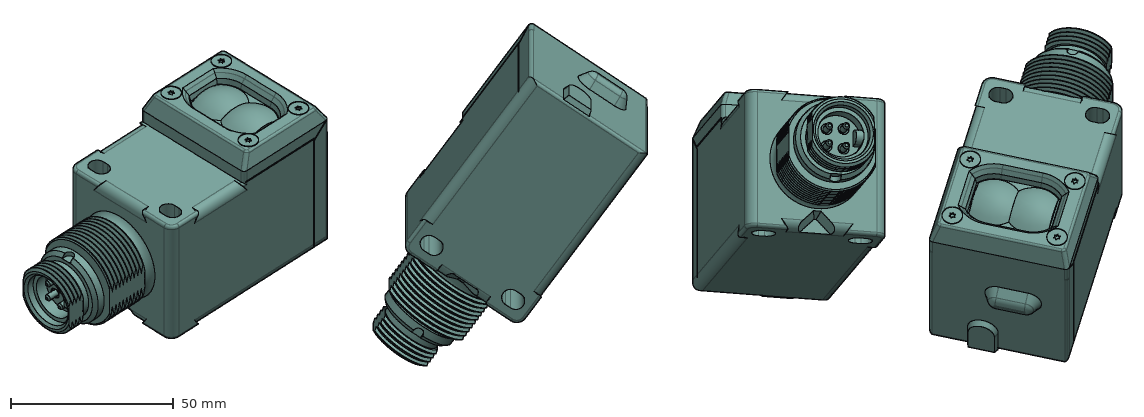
import cadquery as cq
import math


chamfer_angle = 45

width = 44.5
half_width = width / 2
body_height = width
body_length = 69.1
corner_radius = 3.3
rear_edge_radius = 1.2
housing_edge_radius = 1.1

relief_radius = 3.2
relief_end_slant = 2.2
front_relief_length = 22.7
side_relief_start = 10.1
top_relief_end = 33.1

head_corner_radius = 1.3
head_overlap = 2.5
head_front = 31.8
head_length = body_length - head_front
head_center_y = head_front + head_length / 2
head_wall_top = 49.0
head_top = 54.2
head_side_taper = 1.9
head_end_taper = 3.2
head_edge_radius = 1.0

window_half_length = 15.9
window_radius = 11.7
window_depth = 4.2
window_chamfer = 1.0
window_draft = 40.0
window_draft_depth = 2.3
window_lower_draft = 15.0
lens_offset = 6.4
lens_radius = 8.8
lens_height = 3.0
lens_half_length = 12.7
lens_root = 1.3

screw_x = 16.6
screw_y = 11.0
screw_radius = 3.2
screw_proud = 0.2
screw_recess_depth = 0.5
star_outer_radius = 1.1
star_inner_radius = 0.6
star_points = 6

slot_x = 15.4
slot_y = 6.5
slot_length = 7.4
slot_width = 5.5

notch_height = 6.5
notch_half_base = 7.6
notch_tip_half_width = 1.2
notch_depth = 2.6
notch_draft = 36.0

seam_y = 62.4
seam_width = 0.3
seam_depth = 0.1
seam_corner_z = 43.9
seam_end_y = 68.0

lamp_length = 4.3
lamp_radius = 4.3
lamp_left = -9.3
lamp_right = 0.0
lamp_z = 28.3
lamp_draft = 30.0
lamp_tip_radius = 2.8
button_x = 5.0
button_z = 8.6
button_base_radius = 4.9
button_height = 1.9
button_draft = 20.0

axis_z = 22.3
collar_radius = 13.7
collar_end = 3.1
collar_flare = 1.4
large_thread_radius = 15.0
large_thread_end = 18.7
large_thread_ridges = 10
large_flat = 13.8
neck_radius = 9.1
flange_radius = 12.6
flange_start = 19.8
flange_end = 23.7
flange_chamfer = 1.3
small_root_radius = 9.8
small_thread_radius = 11.3
small_thread_start = 26.2
small_thread_ridges = 4
connector_end = 32.5
small_flat = 9.9
thread_pitch = 1.6
thread_depth = 1.0
crest_width = 0.2

flange_slot_radius = 1.7
flange_slot_floor_radius = 11.0
flange_slot_center = 22.5

mouth_radius = 9.5
bore_radius = 8.7
mouth_chamfer = mouth_radius - bore_radius
step_depth = 3.2
inner_bore_radius = 7.3
socket_depth = 7.4
pin_radius = 1.1
pin_length = 3.7
pin_tip_chamfer = 0.5
pin_well_radius = 1.7
pin_well_depth = 0.6
pin_positions = [(-3.4, 2.8), (-3.4, -2.8), (2.0, 3.2), (2.0, -3.2)]
key_inner_x = 4.9
key_outer_x = inner_bore_radius
key_half_height = 2.3
key_length = 4.6


def housing():
    block = cq.Workplane("XY").box(width, body_length, body_height, centered=(True, False, False))
    block = block.edges("|Z and <Y").fillet(corner_radius)
    block = block.edges("|Z and >Y").fillet(rear_edge_radius)
    return block.faces("<Z or >Z").edges().fillet(housing_edge_radius)


def rounded_rectangle(size_x, size_y):
    return cq.Sketch().rect(size_x, size_y).vertices().fillet(head_corner_radius)


def head():
    base_z = body_height - head_overlap
    footprint = rounded_rectangle(width, head_length)
    roof_outline = rounded_rectangle(width - 2 * head_side_taper, head_length - 2 * head_end_taper)
    wall = cq.Workplane("XY", origin=(0, head_center_y, base_z)).placeSketch(footprint)
    wall = wall.extrude(head_wall_top - base_z)
    roof = cq.Workplane("XY", origin=(0, head_center_y, head_wall_top))
    roof = roof.placeSketch(footprint, roof_outline.moved(cq.Location((0, 0, head_top - head_wall_top))))
    roof = roof.loft(ruled=True)
    roof = roof.faces(">Z").edges().fillet(head_edge_radius)
    return wall.union(roof)


def edge_relief(length_start, length_end):
    """Cutter that rounds a stretch of the edge along +X at Y = 0, Z = 0 (solid towards +Y and -Z)."""
    wedge = (
        cq.Workplane("XZ")
        .moveTo(length_start, -relief_radius)
        .lineTo(length_end, -relief_radius)
        .lineTo(length_end - relief_end_slant, 0)
        .lineTo(length_start + relief_end_slant, 0)
        .close()
        .extrude(-relief_radius)
    )
    rod = cq.Workplane("YZ", origin=(length_start, relief_radius, -relief_radius))
    return wedge.cut(rod.circle(relief_radius).extrude(length_end - length_start))


def reliefs():
    half_front = front_relief_length / 2
    front_top = edge_relief(-half_front, half_front).translate((0, 0, body_height))
    front_bottom = edge_relief(-half_front, half_front).mirror("XY")
    side_top = edge_relief(-top_relief_end, -side_relief_start)
    side_top = side_top.rotate((0, 0, 0), (0, 0, 1), -90).translate((-half_width, 0, body_height))
    side_bottom = edge_relief(-body_length - relief_end_slant, -side_relief_start)
    side_bottom = side_bottom.rotate((0, 0, 0), (0, 0, 1), -90).mirror("XY").translate((-half_width, 0, 0))
    cutters = front_top.union(front_bottom)
    for side in (side_top, side_bottom):
        cutters = cutters.union(side).union(side.mirror("YZ"))
    return cutters


def window_outline(radius, half_length, z):
    """Slot with rounded ends cut off square at both sides."""
    half_side = math.sqrt(radius**2 - (half_length - lens_offset) ** 2)
    angle = math.atan2(half_side, half_length - lens_offset)
    middle = (angle + math.pi / 2) / 2
    arc_x = lens_offset + radius * math.cos(middle)
    arc_y = radius * math.sin(middle)
    return (
        cq.Workplane("XY", origin=(0, head_center_y, z))
        .moveTo(-lens_offset, radius)
        .lineTo(lens_offset, radius)
        .threePointArc((arc_x, arc_y), (half_length, half_side))
        .lineTo(half_length, -half_side)
        .threePointArc((arc_x, -arc_y), (lens_offset, -radius))
        .lineTo(-lens_offset, -radius)
        .threePointArc((-arc_x, -arc_y), (-half_length, -half_side))
        .lineTo(-half_length, half_side)
        .threePointArc((-arc_x, arc_y), (-lens_offset, radius))
        .close()
    )


def window_pocket():
    """Pocket with a chamfered rim, a wide-angled upper wall and a steep lower wall."""
    draft_height = window_draft_depth - window_chamfer
    draft_inset = window_chamfer + draft_height * math.tan(math.radians(window_draft))
    levels = [
        (0, window_chamfer, 0, chamfer_angle),
        (window_chamfer, window_draft_depth, window_chamfer, window_draft),
        (window_draft_depth, window_depth, draft_inset, window_lower_draft),
    ]
    pocket = cq.Workplane("XY")
    for top_depth, bottom_depth, inset, draft in levels:
        outline = window_outline(window_radius - inset, window_half_length - inset, head_top - top_depth)
        pocket = pocket.union(outline.extrude(top_depth - bottom_depth, taper=draft))
    return pocket


def lenses():
    sphere_radius = (lens_radius**2 + lens_height**2) / (2 * lens_height)
    floor_z = head_top - window_depth
    center_z = floor_z + lens_height - sphere_radius
    pair = cq.Workplane("XY")
    for side in (-1, 1):
        ball = cq.Workplane("XY").sphere(sphere_radius)
        pair = pair.union(ball.translate((side * lens_offset, head_center_y, center_z)))
    trim = cq.Workplane("XY", origin=(0, head_center_y, floor_z - lens_root))
    trim = trim.rect(2 * lens_half_length, 2 * lens_radius).extrude(lens_height + lens_root)
    return pair.intersect(trim)


def star_outline(workplane):
    points = []
    for i in range(2 * star_points):
        radius = star_inner_radius if i % 2 else star_outer_radius
        angle = math.pi / 2 + i * math.pi / star_points
        points.append((radius * math.cos(angle), radius * math.sin(angle)))
    return workplane.polyline(points).close()


def screw(x, y):
    top_z = head_top + screw_proud
    return cq.Workplane("XY", origin=(x, y, top_z)).circle(screw_radius).extrude(-2 * screw_proud)


def screw_recess(x, y):
    workplane = cq.Workplane("XY", origin=(x, y, head_top + screw_proud))
    return star_outline(workplane).extrude(-screw_recess_depth)


def triangular_notch():
    """Triangle with sloping walls, carried on below the housing so that it stays open underneath."""
    slope = (notch_half_base - notch_tip_half_width) / notch_height
    lower_half_base = notch_half_base + slope * notch_depth
    return (
        cq.Workplane("XZ")
        .moveTo(-lower_half_base, -notch_depth)
        .lineTo(-notch_tip_half_width, notch_height)
        .lineTo(notch_tip_half_width, notch_height)
        .lineTo(lower_half_base, -notch_depth)
        .close()
        .extrude(-notch_depth, taper=notch_draft)
    )


def cover_seam():
    """Fine groove up one side face, branching to the upper rear corner and along the foot of the head."""
    side = cq.Workplane("YZ", origin=(-half_width, 0, 0))
    upright = (
        side.moveTo(seam_y, 0)
        .lineTo(seam_y, seam_corner_z)
        .lineTo(seam_end_y, head_wall_top)
        .lineTo(seam_end_y + seam_width, head_wall_top)
        .lineTo(seam_y + seam_width, seam_corner_z)
        .lineTo(seam_y + seam_width, 0)
        .close()
        .extrude(seam_depth)
    )
    foot = side.moveTo(head_front, body_height).lineTo(seam_y + seam_width, body_height)
    foot = foot.lineTo(seam_y + seam_width, body_height + seam_width)
    foot = foot.lineTo(head_front, body_height + seam_width).close().extrude(seam_depth)
    groove = upright.union(foot)
    return groove.union(groove.mirror("YZ"))


def lamp():
    length = lamp_right - lamp_left + 2 * lamp_radius
    workplane = cq.Workplane("XZ", origin=((lamp_left + lamp_right) / 2, body_length, lamp_z))
    dome = workplane.slot2D(length, 2 * lamp_radius).extrude(-lamp_length, taper=lamp_draft)
    return dome.faces(">Y").edges().fillet(lamp_tip_radius)


def button():
    return (
        cq.Workplane("XZ", origin=(button_x, body_length, 0))
        .moveTo(-button_base_radius, 0)
        .lineTo(-button_base_radius, button_z)
        .threePointArc((0, button_z + button_base_radius), (button_base_radius, button_z))
        .lineTo(button_base_radius, 0)
        .close()
        .extrude(-button_height, taper=button_draft)
    )


def axis_workplane(distance):
    """Plane across the connector axis, extruding away from the housing."""
    return cq.Workplane("XZ", origin=(0, -distance, axis_z))


def threaded_rod(start, ridge_count, radius):
    """Rod with evenly pitched ring crests."""
    root = radius - thread_depth
    profile = cq.Workplane("XY").moveTo(0, -start).lineTo(root, -start)
    for i in range(ridge_count):
        crest = start + (i + 0.5) * thread_pitch
        profile = profile.lineTo(radius, -crest + crest_width / 2)
        profile = profile.lineTo(radius, -crest - crest_width / 2)
        profile = profile.lineTo(root, -crest - thread_pitch / 2)
    profile = profile.lineTo(0, -start - ridge_count * thread_pitch).close()
    return profile.revolve(360, (0, 0, 0), (0, 1, 0)).translate((0, 0, axis_z))


def flatten_sides(rod, half_flat, start, end):
    block = axis_workplane(start).rect(2 * half_flat, 4 * half_flat).extrude(end - start)
    return rod.intersect(block)


def flared_collar():
    """Round collar that widens towards the housing in a concave sweep."""
    sweep_radius = (collar_flare**2 + collar_end**2) / (2 * collar_flare)
    half_angle = math.asin(collar_end / sweep_radius) / 2
    middle_x = collar_radius + sweep_radius * (1 - math.cos(half_angle))
    middle_y = sweep_radius * math.sin(half_angle) - collar_end
    profile = cq.Workplane("XY").lineTo(collar_radius + collar_flare, 0)
    profile = profile.threePointArc((middle_x, middle_y), (collar_radius, -collar_end))
    profile = profile.lineTo(0, -collar_end).close()
    return profile.revolve(360, (0, 0, 0), (0, 1, 0)).translate((0, 0, axis_z))


def connector():
    collar = flared_collar()
    large = threaded_rod(collar_end, large_thread_ridges, large_thread_radius)
    large = flatten_sides(large, large_flat, collar_end, large_thread_end)
    neck = axis_workplane(large_thread_end).circle(neck_radius).extrude(flange_start - large_thread_end)
    flange = axis_workplane(flange_start).circle(flange_radius).extrude(flange_end - flange_start)
    flange = flange.faces("<Y").edges().chamfer(flange_chamfer)
    barrel = axis_workplane(flange_end).circle(small_root_radius).extrude(small_thread_start - flange_end)
    small = threaded_rod(small_thread_start, small_thread_ridges, small_thread_radius)
    small = flatten_sides(small, small_flat, small_thread_start, connector_end)
    return collar.union(large).union(neck).union(flange).union(barrel).union(small)


def flange_slots():
    slot_end = flange_slot_radius - flange_slot_center
    upper = (
        cq.Workplane("XY", origin=(0, 0, axis_z + flange_slot_floor_radius))
        .moveTo(-flange_slot_radius, -flange_end)
        .lineTo(-flange_slot_radius, -flange_slot_center)
        .threePointArc((0, slot_end), (flange_slot_radius, -flange_slot_center))
        .lineTo(flange_slot_radius, -flange_end)
        .close()
        .extrude(flange_radius - flange_slot_floor_radius)
    )
    return upper.union(upper.mirror("XY", (0, 0, axis_z)))


def socket():
    mouth = axis_workplane(connector_end).circle(mouth_radius).extrude(-mouth_chamfer, taper=chamfer_angle)
    bore = axis_workplane(connector_end).circle(bore_radius).extrude(-step_depth)
    inner = axis_workplane(connector_end).circle(inner_bore_radius).extrude(-socket_depth)
    wells = axis_workplane(connector_end - socket_depth).pushPoints(pin_positions)
    wells = wells.circle(pin_well_radius).extrude(-pin_well_depth)
    return mouth.union(bore).union(inner).union(wells)


def contacts():
    floor = connector_end - socket_depth - pin_well_depth
    pins = axis_workplane(floor).pushPoints(pin_positions)
    pins = pins.circle(pin_radius).extrude(pin_well_depth + pin_length)
    pins = pins.faces("<Y").edges().chamfer(pin_tip_chamfer)
    key_root = connector_end - socket_depth
    key_center = key_root + key_length - key_half_height
    key = (
        cq.Workplane("YZ", origin=(key_inner_x, 0, axis_z))
        .moveTo(-key_root, -key_half_height)
        .lineTo(-key_center, -key_half_height)
        .threePointArc((-key_center - key_half_height, 0), (-key_center, key_half_height))
        .lineTo(-key_root, key_half_height)
        .close()
        .extrude(key_outer_x - key_inner_x)
    )
    return pins.union(key)


result = housing().cut(reliefs()).union(head())
result = result.cut(triangular_notch()).cut(cover_seam())
slots = cq.Workplane("XY").pushPoints([(-slot_x, slot_y), (slot_x, slot_y)])
result = result.cut(slots.slot2D(slot_length, slot_width).extrude(body_height))

result = result.cut(window_pocket()).union(lenses())
for x in (-screw_x, screw_x):
    for y in (head_center_y - screw_y, head_center_y + screw_y):
        result = result.union(screw(x, y)).cut(screw_recess(x, y))

result = result.union(lamp()).union(button())

result = result.union(connector().cut(flange_slots()).cut(socket()).union(contacts()))